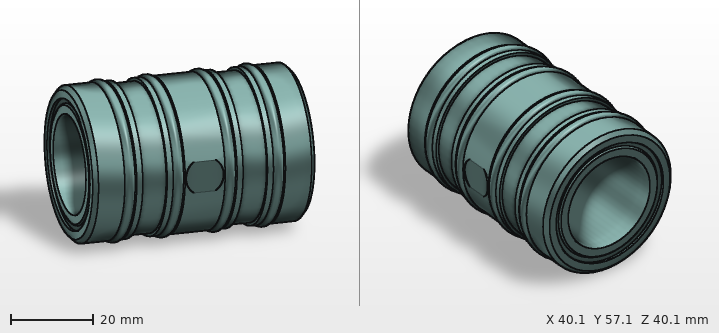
import cadquery as cq

length = 57.15
half_length = length / 2
body_radius = 19.5
bore_radius = 12.45
end_chamfer = 1.15

ring_outer_radius = 20.05
ring_section_radius = 1.3
ring_centre_radius = ring_outer_radius - ring_section_radius
groove_floor_radius = ring_outer_radius - 2 * ring_section_radius
groove_width = 3.1
inner_groove_y = 6.7
outer_groove_y = 19.15
groove_positions = [-outer_groove_y, -inner_groove_y, inner_groove_y, outer_groove_y]

relief_radius = 18.7
relief_width = 6.3
relief_y = (inner_groove_y + outer_groove_y) / 2

channel_outer_radius = 16.35
channel_floor_inner_radius = 15.1
channel_rim_inner_radius = 14.65
channel_depth = 0.75
inner_rim_setback = 0.3

spot_face_radius = 4.85
spot_face_floor_x = 19.1


def cylinder(radius, width, centre_y):
    """Cylinder about the Y axis, centred on centre_y."""
    start = cq.Workplane("XZ", origin=(0, centre_y + width / 2, 0))
    return start.circle(radius).extrude(width)


def band(floor_radius, width, centre_y):
    """Ring of material to remove around the outside, down to floor_radius."""
    outside = cylinder(ring_outer_radius, width, centre_y)
    return outside.cut(cylinder(floor_radius, width, centre_y))


def end_channel():
    """Cutter for the channel and the set-back inner rim at the +Y end."""
    floor_y = half_length - channel_depth
    rim_y = half_length - inner_rim_setback
    return (
        cq.Workplane("XY")
        .moveTo(channel_floor_inner_radius, floor_y)
        .lineTo(channel_outer_radius, floor_y)
        .lineTo(channel_outer_radius, half_length)
        .lineTo(bore_radius, half_length)
        .lineTo(bore_radius, rim_y)
        .lineTo(channel_rim_inner_radius, rim_y)
        .close()
        .revolve(360, (0, 0, 0), (0, 1, 0))
    )


def spot_face():
    """Cutter for the spot face, from spot_face_floor_x outward along +X."""
    depth = ring_outer_radius - spot_face_floor_x
    return cq.Workplane("YZ", origin=(spot_face_floor_x, 0, 0)).circle(spot_face_radius).extrude(depth)


def make_sleeve():
    sleeve = cylinder(body_radius, length, 0).edges().chamfer(end_chamfer)
    sleeve = sleeve.cut(cylinder(bore_radius, length, 0))
    for groove_y in groove_positions:
        sleeve = sleeve.cut(band(groove_floor_radius, groove_width, groove_y))
    for centre_y in (-relief_y, relief_y):
        sleeve = sleeve.cut(band(relief_radius, relief_width, centre_y))
    channel = end_channel()
    sleeve = sleeve.cut(channel).cut(channel.mirror("XZ"))
    return sleeve.cut(spot_face())


def make_seal_ring(centre_y):
    return cq.Solid.makeTorus(
        ring_centre_radius, ring_section_radius, cq.Vector(0, centre_y, 0), cq.Vector(0, 1, 0)
    )


sleeve = make_sleeve()
seal_rings = [make_seal_ring(groove_y) for groove_y in groove_positions]

result = cq.Compound.makeCompound([sleeve.val(), *seal_rings])